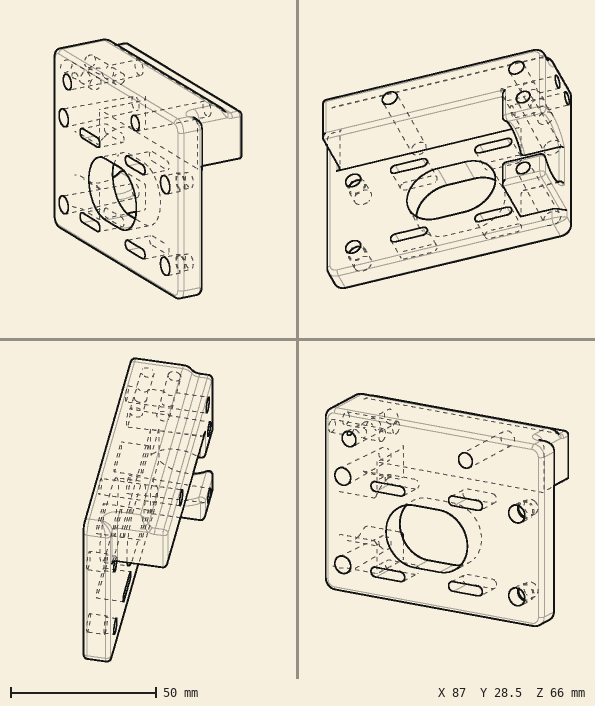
import cadquery as cq
import math

LENGTH = 87.0
DEPTH = 28.5
HEIGHT = 66.0
PLATE_THICKNESS = 9.5
BODY_LENGTH = 81.5
BODY_BOTTOM = 5.5
LEDGE_HEIGHT = 63.0

CORNER_R = 4.0
EDGE_R = 1.5
STEP_CONCAVE_R = 3.0
STEP_END = 24.1

MOTOR_X = 41.0
MOTOR_Z = 25.0
MOTOR_TRAVEL = 10.0
MOTOR_BOSS_D = 22.5
MOTOR_SCREW_PITCH = 31.0
MOTOR_SLOT_WIDTH = 3.5
POCKET_START = 15.5
POCKET_TOP = 46.0

BORE_R = 12.25
BORE_Y = 19.0

TOP_HOLE_D = 5.5
TOP_HOLES = [(10.0, 56.0), (56.5, 56.0)]
TAPER_FRONT_D = 6.3
TAPER_BACK_D = 5.0
TAPER_HOLES = [(7.5, 42.0), (7.5, 10.0)]
STEPPED_FRONT_D = 6.4
STEPPED_BACK_D = 5.5
STEPPED_FRONT_DEPTH = 6.0
STEPPED_HOLES = [(77.0, 40.0), (77.0, 10.0)]

SIDE_HOLE_D = 4.5
SIDE_HOLE_DEPTH = 20.0
SIDE_HOLE_Z = 57.7
SIDE_HOLE_YS = [5.3, 14.75]

STEP_DROP = HEIGHT - LEDGE_HEIGHT
STEP_R_SUM = CORNER_R + STEP_CONCAVE_R
STEP_ANGLE = math.acos(1 - STEP_DROP / STEP_R_SUM)
STEP_START = STEP_END - STEP_R_SUM * math.sin(STEP_ANGLE)
STEP_MIDDLE = STEP_START + CORNER_R * math.sin(STEP_ANGLE)

TINY = 0.01


def box(x, y, z):
    """Axis-aligned box from three (low, high) ranges."""
    size = [high - low for low, high in (x, y, z)]
    return cq.Workplane("XY").box(*size, centered=False).translate((x[0], y[0], z[0]))


def edges_in(solid, x, y, z):
    """Edges whose bounding boxes lie inside three (low, high) ranges."""
    def inside(edge):
        bounds = edge.BoundingBox()
        spans = [(bounds.xmin, bounds.xmax), (bounds.ymin, bounds.ymax), (bounds.zmin, bounds.zmax)]
        return all(
            low - TINY <= start and end <= high + TINY
            for (start, end), (low, high) in zip(spans, (x, y, z))
        )

    return solid.newObject([edge for edge in solid.edges().vals() if inside(edge)])


def cylinder_y(x, z, diameter, start, length):
    """Cylinder running along +Y."""
    return cq.Workplane(
        cq.Solid.makeCylinder(diameter / 2, length, cq.Vector(x, start, z), cq.Vector(0, 1, 0))
    )


def side_section(length):
    """Y-Z section with the top step, the plate foot and the raised body bottom."""
    half = STEP_ANGLE / 2
    convex_mid = (
        STEP_START + CORNER_R * math.sin(half),
        HEIGHT - CORNER_R * (1 - math.cos(half)),
    )
    inflection = (STEP_MIDDLE, HEIGHT - CORNER_R * (1 - math.cos(STEP_ANGLE)))
    concave_mid = (
        STEP_END - STEP_CONCAVE_R * math.sin(half),
        LEDGE_HEIGHT + STEP_CONCAVE_R * (1 - math.cos(half)),
    )
    return (
        cq.Workplane("YZ")
        .moveTo(0, 0)
        .lineTo(PLATE_THICKNESS, 0)
        .lineTo(PLATE_THICKNESS, BODY_BOTTOM)
        .lineTo(DEPTH, BODY_BOTTOM)
        .lineTo(DEPTH, LEDGE_HEIGHT)
        .lineTo(STEP_END, LEDGE_HEIGHT)
        .threePointArc(concave_mid, inflection)
        .threePointArc(convex_mid, (STEP_START, HEIGHT))
        .lineTo(0, HEIGHT)
        .close()
        .extrude(length)
    )


def plan_block():
    """Plate and body in plan, with their concave corner and rounded right-hand top edges."""
    bend = EDGE_R * (1 - math.sqrt(0.5))
    inner_x = BODY_LENGTH + EDGE_R
    inner_y = PLATE_THICKNESS + EDGE_R
    block = (
        cq.Workplane("XY")
        .moveTo(0, 0)
        .lineTo(LENGTH, 0)
        .lineTo(LENGTH, PLATE_THICKNESS)
        .lineTo(inner_x, PLATE_THICKNESS)
        .threePointArc((BODY_LENGTH + bend, PLATE_THICKNESS + bend), (BODY_LENGTH, inner_y))
        .lineTo(BODY_LENGTH, DEPTH)
        .lineTo(0, DEPTH)
        .close()
        .extrude(HEIGHT)
    )
    top_right = edges_in(block, (BODY_LENGTH, LENGTH), (PLATE_THICKNESS, DEPTH), (HEIGHT, HEIGHT))
    return top_right.fillet(CORNER_R)


def plate_outline():
    """X-Z outline with every corner rounded except the top left one."""
    outline = box((0, LENGTH), (0, DEPTH), (0, HEIGHT))
    outline = outline.edges("|Y").edges(">X or <Z").fillet(CORNER_R)
    return outline


def lower_left_rounding():
    """Waste where the foot's vertical edge and the body's lower left edge are rounded."""
    vertical = box((0, BODY_LENGTH), (0, PLATE_THICKNESS), (0, HEIGHT))
    vertical = vertical.edges("<X and >Y").fillet(CORNER_R)
    lower = box((0, BODY_LENGTH), (0, DEPTH), (BODY_BOTTOM, HEIGHT))
    lower = lower.edges("<X and <Z").fillet(EDGE_R)
    return box((0, CORNER_R), (0, DEPTH), (0, HEIGHT)).cut(vertical).cut(lower)


def body():
    """Solid block of plate and body with every outer edge rounded except those of the rear face."""
    solid = plan_block().intersect(side_section(LENGTH)).intersect(plate_outline())
    solid = solid.cut(lower_left_rounding())
    plate_rear_edge = edges_in(
        solid, (CORNER_R, LENGTH), (PLATE_THICKNESS, PLATE_THICKNESS), (0, 0)
    )
    solid = plate_rear_edge.fillet(EDGE_R)
    step_right_edge = edges_in(
        solid, (BODY_LENGTH - CORNER_R, BODY_LENGTH), (STEP_START, DEPTH), (LEDGE_HEIGHT, HEIGHT)
    ).edges("%ELLIPSE")
    solid = step_right_edge.fillet(EDGE_R)
    top_left_edges = edges_in(solid, (0, 0), (0, DEPTH), (LEDGE_HEIGHT, HEIGHT))
    solid = top_left_edges.fillet(CORNER_R)
    lower_right_edge = edges_in(
        solid,
        (BODY_LENGTH, BODY_LENGTH),
        (PLATE_THICKNESS, DEPTH),
        (BODY_BOTTOM, BODY_BOTTOM),
    )
    solid = lower_right_edge.fillet(EDGE_R)
    return solid.faces("<Y").edges().fillet(EDGE_R)


def motor_pocket():
    """Rear pocket, open to the right and below."""
    return box((POCKET_START, LENGTH), (PLATE_THICKNESS, DEPTH), (0, POCKET_TOP))


def motor_openings():
    """Boss opening and four screw slots, all stretched along X."""
    boss = (
        cq.Workplane("XZ", origin=(MOTOR_X, 0, MOTOR_Z))
        .slot2D(MOTOR_BOSS_D + MOTOR_TRAVEL, MOTOR_BOSS_D)
        .extrude(-DEPTH)
    )
    slots = (
        cq.Workplane("XZ", origin=(MOTOR_X, 0, MOTOR_Z))
        .rarray(MOTOR_SCREW_PITCH, MOTOR_SCREW_PITCH, 2, 2)
        .slot2D(MOTOR_SLOT_WIDTH + MOTOR_TRAVEL, MOTOR_SLOT_WIDTH)
        .extrude(-DEPTH)
    )
    return boss.union(slots)


def cross_bore():
    """Bore along X, flattened where it reaches the plate."""
    bore = cq.Workplane("YZ", origin=(0, BORE_Y, MOTOR_Z)).circle(BORE_R).extrude(LENGTH)
    return bore.intersect(box((0, LENGTH), (PLATE_THICKNESS, DEPTH), (0, HEIGHT)))


def drilled_holes():
    """Holes along Y through the whole part and blind holes along X in the left side."""
    holes = cq.Workplane()
    for x, z in TOP_HOLES:
        holes = holes.add(cylinder_y(x, z, TOP_HOLE_D, 0, DEPTH))
    for x, z in TAPER_HOLES:
        holes = holes.add(
            cq.Solid.makeCone(
                TAPER_FRONT_D / 2, TAPER_BACK_D / 2, DEPTH, cq.Vector(x, 0, z), cq.Vector(0, 1, 0)
            )
        )
    for x, z in STEPPED_HOLES:
        holes = holes.add(cylinder_y(x, z, STEPPED_FRONT_D, 0, STEPPED_FRONT_DEPTH))
        holes = holes.add(cylinder_y(x, z, STEPPED_BACK_D, 0, PLATE_THICKNESS))
    for y in SIDE_HOLE_YS:
        holes = holes.add(
            cq.Solid.makeCylinder(
                SIDE_HOLE_D / 2, SIDE_HOLE_DEPTH, cq.Vector(0, y, SIDE_HOLE_Z), cq.Vector(1, 0, 0)
            )
        )
    return holes.combine()


def flat_rim_rounding():
    """Waste that rounds the bore's flat at the left side, as wide as the rounded arcs allow."""
    flared_bore = (
        cq.Workplane("XY", origin=(0, BORE_Y, MOTOR_Z))
        .lineTo(0, BORE_R + EDGE_R)
        .radiusArc((EDGE_R, BORE_R), -EDGE_R)
        .lineTo(EDGE_R, 0)
        .close()
        .revolve(360, (0, 0, 0), (1, 0, 0))
    )
    strip = box((0, EDGE_R), (PLATE_THICKNESS - EDGE_R, PLATE_THICKNESS), (0, HEIGHT))
    wall = box((0, LENGTH), (0, PLATE_THICKNESS), (0, HEIGHT))
    rounded_wall = wall.edges("<X and >Y").fillet(EDGE_R)
    return strip.cut(rounded_wall).intersect(flared_bore)


def hollowed_body():
    """Body with its pocket and cross bore, rounded along the rear face and the bore's rims."""
    solid = body().cut(motor_pocket()).cut(cross_bore())
    depth_range = (PLATE_THICKNESS, DEPTH)
    bore_range = (MOTOR_Z - BORE_R, MOTOR_Z + BORE_R)
    left_rim = edges_in(solid, (0, 0), depth_range, bore_range).edges("%CIRCLE")
    pocket_rim = edges_in(solid, (POCKET_START, POCKET_START), depth_range, bore_range)
    rear_edges = solid.faces(">Y").edges()
    rounded = left_rim.add(pocket_rim).add(rear_edges)
    return rounded.fillet(EDGE_R).cut(flat_rim_rounding())


result = hollowed_body().cut(motor_openings()).cut(drilled_holes())